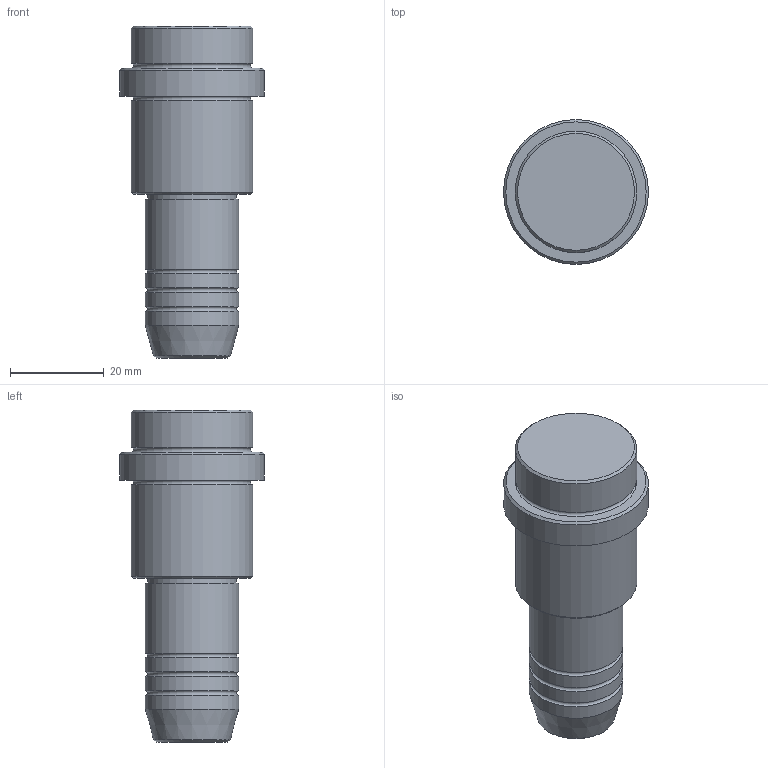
import cadquery as cq
import math

total_length = 71.0
head_radius = 13.0
collar_radius = 15.5
shank_radius = 10.0
edge_chamfer = 0.5
groove_radius = 0.5
groove_width = 2 * groove_radius

neck_height = 1.0
neck_depth = 0.5

head_height = 9.0
collar_height = 6.0
body_length = 21.0
collar_top = total_length - head_height
collar_bottom = collar_top - collar_height
body_bottom = collar_bottom - body_length

nose_height = 7.0
nose_half_angle = 15.0
ring_pitch = 4.0
ring_groove_count = 3
lowest_ring_groove = nose_height + ring_pitch - groove_width


def cylinder(radius, bottom, top):
    return cq.Workplane("XY").workplane(offset=bottom).circle(radius).extrude(top - bottom)


def revolve_profile(points):
    """Revolve a closed (radius, height) outline about the Z axis."""
    return cq.Workplane("XZ").polyline(points).close().revolve(360, (0, 0, 0), (0, 1, 0))


def round_groove(radius, bottom):
    """Ring-shaped cutter for a half-round groove whose lower lip is at the given height."""
    middle = (radius - groove_radius, bottom + groove_radius)
    return (
        cq.Workplane("XZ")
        .moveTo(radius, bottom)
        .threePointArc(middle, (radius, bottom + groove_width))
        .close()
        .revolve(360, (0, 0, 0), (0, 1, 0))
    )


def nose():
    """Tapered tip with a chamfered end face."""
    tip_radius = shank_radius - nose_height * math.tan(math.radians(nose_half_angle))
    taper = revolve_profile([
        (0, 0),
        (tip_radius, 0),
        (shank_radius, nose_height),
        (0, nose_height),
    ])
    return taper.faces("<Z").chamfer(edge_chamfer)


def shank():
    """Straight shank with ring grooves and an undercut neck below the body."""
    neck_bottom = body_bottom - neck_height
    bar = cylinder(shank_radius, nose_height, neck_bottom)
    for index in range(ring_groove_count):
        bar = bar.cut(round_groove(shank_radius, lowest_ring_groove + index * ring_pitch))
    neck = cylinder(shank_radius - neck_depth, neck_bottom, body_bottom)
    return bar.union(neck)


def body():
    bar = cylinder(head_radius, body_bottom, collar_bottom).faces("<Z").chamfer(edge_chamfer)
    return bar.cut(round_groove(head_radius, collar_bottom - groove_width))


def collar():
    return cylinder(collar_radius, collar_bottom, collar_top).faces(">Z").chamfer(edge_chamfer)


def head():
    bar = cylinder(head_radius, collar_top, total_length).faces(">Z").chamfer(edge_chamfer)
    return bar.cut(round_groove(head_radius, collar_top))


result = nose().union(shank()).union(body()).union(collar()).union(head())